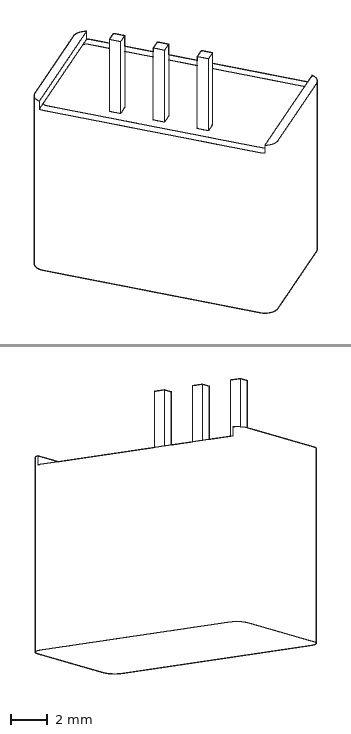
import cadquery as cq

length = 14.0
width = 7.6
rim_height = 10.79
rim_step = 0.5
wall = 0.5
corner_radius = 0.75

total_height = 14.9
pin_side = 0.65
pin_pitch = 2.53
pin_count = 3
pin_row_y = -2.34

inner_length = length - 2 * wall
inner_width = width - 2 * wall
inner_radius = corner_radius - wall
fill_top = rim_height - rim_step


def rounded_block(size_x, size_y, radius, bottom, top):
    """Upright block with rounded vertical edges, centred on the Z axis."""
    return (
        cq.Workplane("XY")
        .workplane(offset=bottom)
        .rect(size_x, size_y)
        .extrude(top - bottom)
        .edges("|Z")
        .fillet(radius)
    )


def make_filling():
    """Block that fills the housing cavity from the floor to the long walls' top."""
    return rounded_block(inner_length, inner_width, inner_radius, wall, fill_top)


def make_housing():
    """Cup whose long walls are lowered between the two end rims."""
    body = rounded_block(length, width, corner_radius, 0, rim_height)
    lowered_middle = (
        cq.Workplane("XY")
        .workplane(offset=fill_top)
        .rect(inner_length, width)
        .extrude(rim_step)
    )
    return body.cut(lowered_middle).cut(make_filling())


def make_pin(x):
    """Square pin standing on the top of the filling."""
    return (
        cq.Workplane("XY")
        .workplane(offset=fill_top)
        .center(x, pin_row_y)
        .rect(pin_side, pin_side)
        .extrude(total_height - fill_top)
    )


housing = make_housing()
filling = make_filling()
pins = [make_pin((i - (pin_count - 1) / 2) * pin_pitch) for i in range(pin_count)]

result = cq.Compound.makeCompound(
    [housing.val(), filling.val(), *[pin.val() for pin in pins]]
)